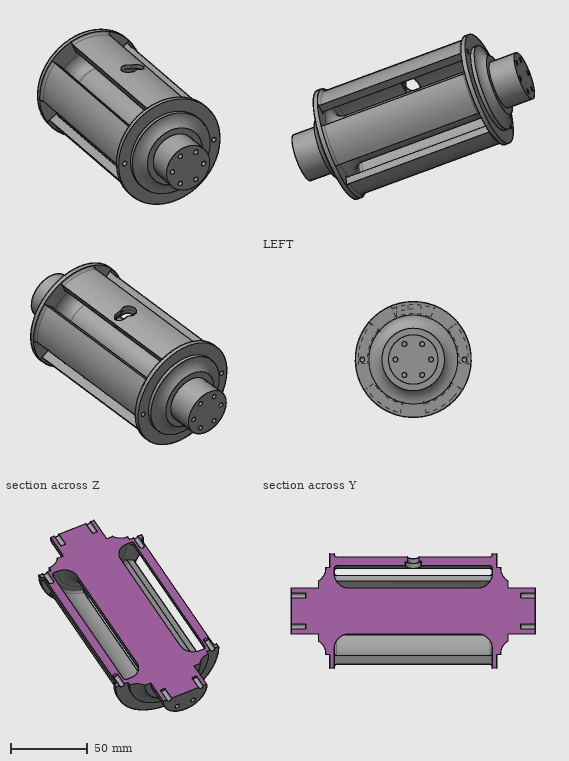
import cadquery as cq
import math

length = 160.0
shaft_radius = 16.2
half_length = length / 2

hub_end_x = 62.0
hub_rim_x = 57.3
hub_rim_radius = 29.1
hub_end_radius = 20.5

flange_diameter = 76.0
flange_radius = flange_diameter / 2
flange_outer_x = 54.7
flange_inner_x = 51.7
core_fillet = 9.3

slat_count = 5
slat_pitch = 360 / slat_count
slat_angle = 45.0
slat_outer_radius = 36.0
slat_inner_diameter = 60.0
slat_inner_radius = slat_inner_diameter / 2
slat_fillet = 1.6

keyhole_large_radius = 5.1
keyhole_small_radius = 3.7
keyhole_reach = 11.0
keyhole_undercut_radius = (slat_outer_radius + slat_inner_radius) / 2

hole_radius = 1.6
hole_depth = 9.6
hole_tip_length = 1.0
shaft_hole_count = 6
shaft_hole_circle_radius = 11.7
flange_hole_offset = 33.5

HALF_ROOT = math.sqrt(0.5)


def revolve_about_x(profile):
    return profile.close().revolve(360, (0, 0, 0), (1, 0, 0))


def make_half_spool():
    """Shaft, flange and hub for the +X half."""
    rise = hub_end_x - hub_rim_x
    run = hub_rim_radius - hub_end_radius
    hub_arc_radius = (rise**2 + run**2) / (2 * rise)

    core_arc_x = flange_inner_x - core_fillet
    core_arc_inset = core_fillet * (1 - HALF_ROOT)
    profile = (
        cq.Workplane("XZ")
        .lineTo(0, shaft_radius)
        .lineTo(core_arc_x, shaft_radius)
        .threePointArc(
            (core_arc_x + core_fillet * HALF_ROOT, shaft_radius + core_arc_inset),
            (flange_inner_x, shaft_radius + core_fillet),
        )
        .lineTo(flange_inner_x, flange_radius)
        .lineTo(flange_outer_x, flange_radius)
        .lineTo(flange_outer_x, hub_rim_radius)
        .lineTo(hub_rim_x, hub_rim_radius)
        .radiusArc((hub_end_x, hub_end_radius), -hub_arc_radius)
        .lineTo(hub_end_x, shaft_radius)
        .lineTo(half_length, shaft_radius)
        .lineTo(half_length, 0)
    )
    return revolve_about_x(profile)


def make_half_drum():
    """Drum wall for the +X half, filleted into the flange inside and outside."""
    fillet_start_x = flange_inner_x - slat_fillet
    fillet_mid_x = fillet_start_x + slat_fillet * HALF_ROOT
    fillet_mid_rise = slat_fillet * (1 - HALF_ROOT)
    profile = (
        cq.Workplane("XZ")
        .moveTo(0, slat_inner_radius)
        .lineTo(fillet_start_x, slat_inner_radius)
        .threePointArc(
            (fillet_mid_x, slat_inner_radius - fillet_mid_rise),
            (flange_inner_x, slat_inner_radius - slat_fillet),
        )
        .lineTo(flange_inner_x, slat_outer_radius + slat_fillet)
        .threePointArc(
            (fillet_mid_x, slat_outer_radius + fillet_mid_rise),
            (fillet_start_x, slat_outer_radius),
        )
        .lineTo(0, slat_outer_radius)
    )
    return revolve_about_x(profile)


def mirror_to_both_ends(half):
    return half.union(half.mirror("YZ"))


def make_slot_cutter():
    """Radial wedge, centred on a gap between slats, that clears the drum wall."""
    half_gap = math.radians(slat_pitch - slat_angle) / 2
    reach = 2 * flange_radius
    side = reach * math.sin(half_gap)
    height = reach * math.cos(half_gap)
    return (
        cq.Workplane("YZ")
        .polyline([(0, 0), (side, height), (-side, height)])
        .close()
        .extrude(flange_inner_x, both=True)
    )


def make_slats():
    drum = mirror_to_both_ends(make_half_drum())
    slot = make_slot_cutter()
    for i in range(slat_count):
        drum = drum.cut(slot.rotate((0, 0, 0), (1, 0, 0), (i + 0.5) * slat_pitch))
    return drum


def make_keyhole_slot(radius):
    """Slot along Y, centred on the entry hole and ending flush with the keyhole's far end."""
    travel = keyhole_reach - radius
    return (
        cq.Workplane("XY", origin=(0, travel / 2, shaft_radius))
        .slot2D(travel + 2 * radius, 2 * radius, 90)
        .extrude(flange_radius - shaft_radius)
    )


def make_keyhole_cutter():
    """Round entry and narrower neck, over an undercut as wide as the entry."""
    entry = (
        cq.Workplane("XY", origin=(0, 0, shaft_radius))
        .circle(keyhole_large_radius)
        .extrude(flange_radius - shaft_radius)
    )
    neck = make_keyhole_slot(keyhole_small_radius)
    undercut_limit = (
        cq.Workplane("YZ")
        .circle(keyhole_undercut_radius)
        .extrude(flange_inner_x, both=True)
    )
    undercut = make_keyhole_slot(keyhole_large_radius).intersect(undercut_limit)
    return entry.union(neck).union(undercut)


def make_shaft_holes():
    """Flat-bottomed holes in the +X end face of the shaft."""
    return (
        cq.Workplane("YZ", origin=(half_length, 0, 0))
        .polarArray(shaft_hole_circle_radius, 0, 360, shaft_hole_count)
        .circle(hole_radius)
        .extrude(-hole_depth)
    )


def make_flange_hole(y):
    """Hole with a conical tip, entering the +X flange and running on into a slat."""
    return (
        cq.Workplane("XZ", origin=(flange_outer_x, y, 0))
        .lineTo(0, hole_radius)
        .lineTo(-hole_depth, hole_radius)
        .lineTo(-hole_depth - hole_tip_length, 0)
        .close()
        .revolve(360, (0, 0, 0), (1, 0, 0))
    )


spool = mirror_to_both_ends(make_half_spool())
result = spool.union(make_slats()).cut(make_keyhole_cutter())
result = result.cut(mirror_to_both_ends(make_shaft_holes()))
for y in (flange_hole_offset, -flange_hole_offset):
    result = result.cut(mirror_to_both_ends(make_flange_hole(y)))